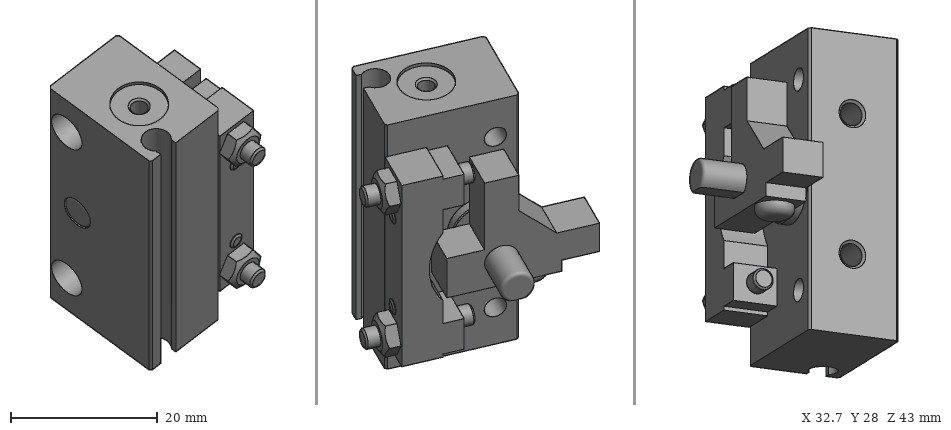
import cadquery as cq
import math

ALONG_X = (1, 0, 0)
ALONG_Y = (0, 1, 0)
ALONG_Z = (0, 0, 1)

block_height = 43.0
block_width = 19.52
block_depth = 13.5
block_left = -5.5
block_right = block_left + block_width
block_chamfer = 0.35

mount_x = -2.0
mount_z = 15.0
mount_hole_diameter = 3.22
mount_counterbore_diameter = 5.8
mount_counterbore_depth = 3.7

side_port_y = 7.0
side_port_z = 10.0
side_port_diameter = 3.22
side_port_mouth = 4.0
side_port_depth = 7.75

top_port_x = 5.45
top_port_y = 6.5
top_recess_diameter = 8.0
top_recess_depth = 0.5
top_port_diameter = 2.45
top_port_mouth = 3.0
top_port_depth = 7.75

groove_x = 11.75
groove_y = 3.45
groove_diameter = 4.13
groove_mouth = 2.92

boss_diameter = 10.0
boss_height = 1.5
boss_chamfer = 0.17
boss_rear = block_depth + boss_height

bracket_depth = 6.6
bracket_left = 8.0
bracket_half_height = 15.95
bracket_relief_radius = 10.0
pad_left = 4.95
pad_inner_z = 10.0
pad_outer_z = 15.4

stop_y = 16.6
stop_z = 12.5
stop_diameter = 3.0
stop_tip_diameter = 2.45
stop_left = 2.55
stop_right = 18.45
nut_across_flats = 5.5
nut_thickness = 2.32
nut_chamfer_length = 0.65
nut_chamfer_radial = 1.0
fastener_z = 8.0
fastener_diameter = 2.3
fastener_projection = 0.3
fastener_chamfer_length = 0.2
fastener_chamfer_radial = 0.4

shaft_diameter = 5.0
shaft_length = 28.0
shaft_end_fillet = 0.5
shaft_flat_z = -1.98

lever_front = 15.5
lever_rear = 21.5
lever_reach = 14.25
lever_half_width = shaft_diameter / 2
lever_web = 8.0
lever_right = 8.0
lever_bottom = -4.45
lever_step_x = -8.75

clamp_x = -5.0
clamp_head_diameter = 5.5
clamp_head_height = 1.75
clamp_head_fillet = 1.3


def cylinder(diameter, length, start, direction):
    """Cylinder that runs from the centre of its first face along a direction."""
    return cq.Workplane(cq.Solid.makeCylinder(diameter / 2, length, cq.Vector(*start), cq.Vector(*direction)))


def cone(start_diameter, end_diameter, length, start, direction):
    """Truncated cone that runs from the centre of its first face along a direction."""
    return cq.Workplane(cq.Solid.makeCone(
        start_diameter / 2, end_diameter / 2, length, cq.Vector(*start), cq.Vector(*direction)))


def box(x_range, y_range, z_range):
    """Box between two limits on each axis."""
    sizes = [high - low for low, high in (x_range, y_range, z_range)]
    corner = (x_range[0], y_range[0], z_range[0])
    return cq.Workplane("XY").box(*sizes, centered=False).translate(corner)


def countersunk_hole(diameter, mouth, depth, start, direction):
    """Cutter for a blind hole with a 45 degree countersink at its mouth."""
    sink = cone(mouth, diameter, (mouth - diameter) / 2, start, direction)
    return cylinder(diameter, depth, start, direction).union(sink)


def make_block():
    half_height = block_height / 2
    block = box((block_left, block_right), (0, block_depth), (-half_height, half_height))
    block = block.edges("|Z").chamfer(block_chamfer)

    for side in (-1, 1):
        mount_start = (mount_x, 0, side * mount_z)
        block = block.cut(cylinder(mount_hole_diameter, block_depth, mount_start, ALONG_Y))
        block = block.cut(cylinder(mount_counterbore_diameter, mount_counterbore_depth, mount_start, ALONG_Y))
        port_start = (block_left, side_port_y, side * side_port_z)
        block = block.cut(
            countersunk_hole(side_port_diameter, side_port_mouth, side_port_depth, port_start, ALONG_X))

    recess_floor = (top_port_x, top_port_y, half_height - top_recess_depth)
    block = block.cut(cylinder(top_recess_diameter, top_recess_depth, recess_floor, ALONG_Z))
    block = block.cut(
        countersunk_hole(top_port_diameter, top_port_mouth, top_port_depth, recess_floor, (0, 0, -1)))

    groove = cylinder(groove_diameter, block_height, (groove_x, groove_y, -half_height), ALONG_Z)
    mouth = box(
        (groove_x, block_right),
        (groove_y - groove_mouth / 2, groove_y + groove_mouth / 2),
        (-half_height, half_height))
    return block.cut(groove).cut(mouth)


def make_boss():
    boss = cylinder(boss_diameter, boss_height, (0, block_depth, 0), ALONG_Y)
    return boss.faces(">Y").chamfer(boss_chamfer)


def make_bracket():
    y_range = (block_depth, block_depth + bracket_depth)
    bracket = box((bracket_left, block_right), y_range, (-bracket_half_height, bracket_half_height))
    relief = cylinder(2 * bracket_relief_radius, bracket_depth, (0, block_depth, 0), ALONG_Y)
    bracket = bracket.cut(relief)
    for z_range in ((pad_inner_z, pad_outer_z), (-pad_outer_z, -pad_inner_z)):
        bracket = bracket.union(box((pad_left, bracket_left), y_range, z_range))
    return bracket


def make_stop_screw(z):
    """Stop screw along X with chamfered tips and a lock nut against the bracket."""
    screw = cylinder(stop_diameter, stop_right - stop_left, (stop_left, stop_y, z), ALONG_X)
    screw = screw.faces("<X or >X").chamfer((stop_diameter - stop_tip_diameter) / 2)

    nut_across_corners = nut_across_flats / math.cos(math.pi / 6)
    nut_start = (block_right, stop_y, z)
    nut = cq.Workplane("YZ").polygon(6, nut_across_corners).extrude(nut_thickness).translate(nut_start)
    envelope = cylinder(nut_across_corners, nut_thickness, nut_start, ALONG_X)
    envelope = envelope.faces(">X").chamfer(nut_chamfer_length, nut_chamfer_radial)
    return screw.union(nut.intersect(envelope))


def make_fastener_tip(z):
    """Chamfered fastener end that stands out of the right face of the bracket."""
    tip = cylinder(fastener_diameter, fastener_projection, (block_right, stop_y, z), ALONG_X)
    return tip.faces(">X").chamfer(fastener_chamfer_length, fastener_chamfer_radial)


def make_housing():
    housing = make_block().union(make_boss()).union(make_bracket())
    for side in (-1, 1):
        housing = housing.union(make_stop_screw(side * stop_z))
        housing = housing.union(make_fastener_tip(side * fastener_z))
    shaft_bore = cylinder(shaft_diameter, boss_rear, (0, 0, 0), ALONG_Y)
    return housing.cut(shaft_bore)


def make_shaft():
    shaft = cylinder(shaft_diameter, shaft_length, (0, 0, 0), ALONG_Y)
    shaft = shaft.faces("<Y or >Y").edges().fillet(shaft_end_fillet)
    radius = shaft_diameter / 2
    below_flat = box((-radius, radius), (lever_rear, shaft_length), (-radius, shaft_flat_z))
    return shaft.cut(below_flat)


def make_lever():
    """Plate with a left arm and an upward arm joined by a 45 degree web."""
    outline = [
        (-lever_reach, -lever_half_width),
        (-lever_reach, lever_half_width),
        (-lever_web, lever_half_width),
        (-lever_half_width, lever_web),
        (-lever_half_width, lever_reach),
        (lever_half_width, lever_reach),
        (lever_half_width, lever_half_width),
        (lever_right, lever_half_width),
        (lever_right, lever_bottom),
        (lever_step_x, lever_bottom),
        (lever_step_x, -lever_half_width),
    ]
    plate = cq.Workplane("XZ").polyline(outline).close().extrude(lever_front - lever_rear)
    return plate.translate((0, lever_front, 0))


def make_clamp_head():
    """Rounded screw head under the lever."""
    lever_middle = (lever_front + lever_rear) / 2
    head = cylinder(clamp_head_diameter, clamp_head_height, (clamp_x, lever_middle, lever_bottom), (0, 0, -1))
    return head.faces("<Z").edges().fillet(clamp_head_fillet)


def make_rotor():
    return make_shaft().union(make_lever()).union(make_clamp_head())


housing = make_housing()
rotor = make_rotor()
result = cq.Compound.makeCompound([housing.val(), rotor.val()])